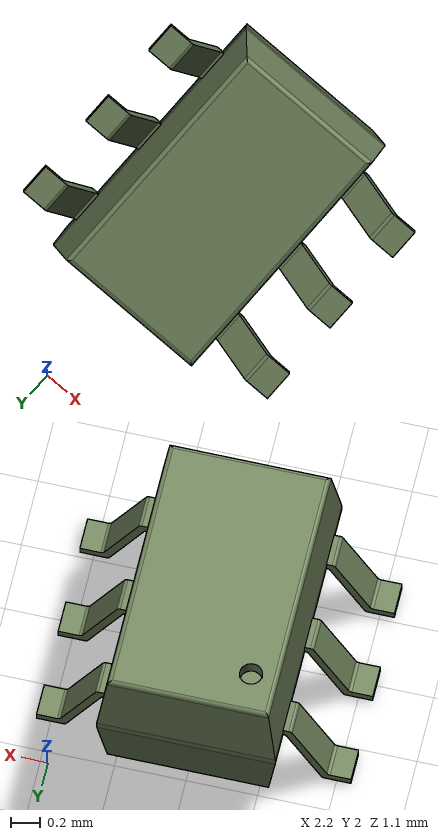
import cadquery as cq
import math

span = 2.2
height = 1.1

body_width = 1.25
body_length = 2.0
standoff = 0.01
draft_angle = 7.0
edge_radius = 0.03

marker_diameter = 0.156
marker_depth = 0.11
marker_inset_x = 0.25
marker_inset_y = 0.35

lead_count = 3
lead_pitch = 0.651
lead_width = 0.23
lead_thickness = 0.062
lead_angle = 64.0
foot_length = 0.163
bend_radius = 0.026

band_middle = (height + standoff) / 2
band_bottom = band_middle - lead_thickness / 2
band_top = band_middle + lead_thickness / 2


def make_upper_half():
    """Block that stands on the parting band and narrows towards its rounded top rim."""
    return (
        cq.Workplane("XY")
        .workplane(offset=band_top)
        .rect(body_width, body_length)
        .extrude(height - band_top, taper=draft_angle)
        .faces(">Z")
        .edges()
        .fillet(edge_radius)
    )


def make_body():
    """Package with equal tapered halves above and below the band, and a blind pin 1 marker."""
    upper = make_upper_half()
    lower = upper.mirror("XY", (0, 0, band_middle))
    band = (
        cq.Workplane("XY")
        .workplane(offset=band_bottom)
        .rect(body_width, body_length)
        .extrude(lead_thickness)
    )
    marker = (
        cq.Workplane("XY")
        .workplane(offset=height - marker_depth)
        .center(marker_inset_x - body_width / 2, body_length / 2 - marker_inset_y)
        .circle(marker_diameter / 2)
        .extrude(marker_depth)
    )
    return band.union(upper).union(lower).cut(marker)


def make_lead(y_middle):
    """Bent strip on the -X side, from the band's side face down to the foot."""
    tip = -span / 2
    root = -body_width / 2
    leg_run = band_bottom / math.tan(math.radians(lead_angle))
    bend_shift = lead_thickness * math.tan(math.radians(lead_angle / 2))
    upper_foot_bend = tip + foot_length
    upper_shoulder_bend = upper_foot_bend + leg_run
    lower_foot_bend = upper_foot_bend + bend_shift
    lower_shoulder_bend = upper_shoulder_bend + bend_shift
    outline = [
        (tip, 0),
        (lower_foot_bend, 0),
        (lower_shoulder_bend, band_bottom),
        (root, band_bottom),
        (root, band_top),
        (upper_shoulder_bend, band_top),
        (upper_foot_bend, lead_thickness),
        (tip, lead_thickness),
    ]
    strip = (
        cq.Workplane("XZ", origin=(0, y_middle, 0))
        .polyline(outline)
        .close()
        .extrude(lead_width / 2, both=True)
    )
    bends = [
        (upper_shoulder_bend, band_top),
        (upper_foot_bend, lead_thickness),
        (lower_foot_bend, 0),
        (lower_shoulder_bend, band_bottom),
    ]
    for x, z in bends:
        corner = cq.selectors.NearestToPointSelector((x, y_middle, z))
        strip = strip.edges("|Y").edges(corner).fillet(bend_radius)
    return strip


body = make_body()

leads = []
for index in range(lead_count):
    lead = make_lead((index - (lead_count - 1) / 2) * lead_pitch)
    leads.append(lead)
    leads.append(lead.mirror("YZ"))

result = cq.Compound.makeCompound([body.val(), *[lead.val() for lead in leads]])